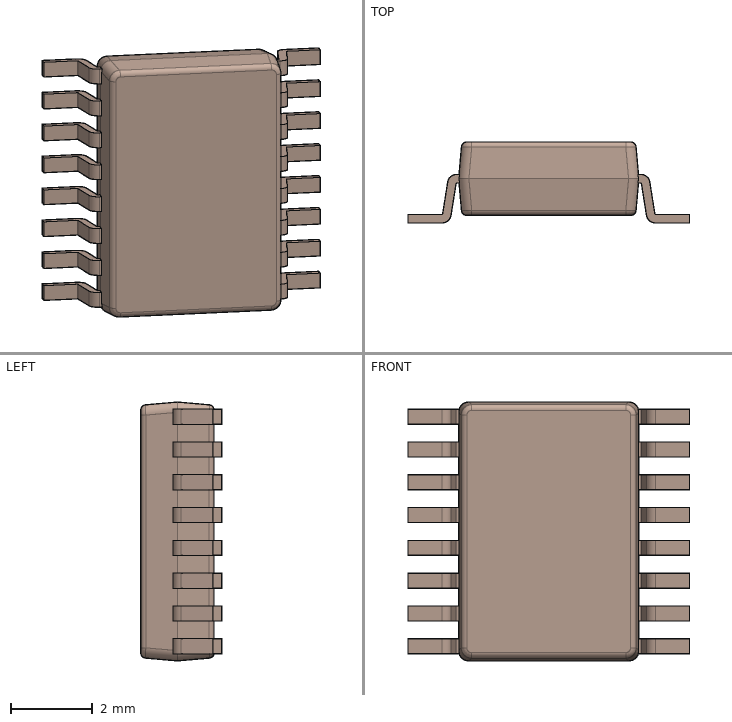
import cadquery as cq
import math

span = 6.88
overall_height = 1.98

body_width = 4.4
body_length = 6.32
standoff = 0.185
draft_angle = 5.0
corner_radius = 0.255
rim_radius = 0.14
half_depth = (overall_height - standoff) / 2
parting_y = standoff + half_depth

leads_per_side = 8
lead_row_length = 5.6
lead_pitch = lead_row_length / (leads_per_side - 1)
lead_width = 0.37
lead_thickness = 0.21
foot_length = 0.845
leg_angle = 9.0
inner_bend_radius = 0.015
outer_bend_radius = inner_bend_radius + lead_thickness
embed_depth = 0.07


def make_body():
    """Two drafted halves meeting at the parting plane, with rounded corners and rims."""
    parting_plane = cq.Plane((0, parting_y, 0), xDir=(1, 0, 0), normal=(0, 1, 0))
    upper_half = (
        cq.Workplane(parting_plane)
        .rect(body_width, body_length)
        .extrude(half_depth, taper=draft_angle)
    )
    body = upper_half.union(upper_half.mirror("XZ", (0, parting_y, 0)))
    body = body.edges("not(#Y)").fillet(corner_radius)
    body = body.faces(">Y or <Y").edges().fillet(rim_radius)
    return body


def make_lead(z_center):
    """Lead on the -X side: flat foot, leaning leg and shoulder centred on the parting plane."""
    lean = math.tan(math.radians(leg_angle))
    leg_run = lead_thickness / math.cos(math.radians(leg_angle))
    tip_x = -span / 2
    root_x = -body_width / 2 + embed_depth
    shoulder_top = parting_y + lead_thickness / 2
    shoulder_bottom = parting_y - lead_thickness / 2

    def leg_outside_x(y):
        return tip_x + foot_length + (y - lead_thickness) * lean

    def leg_inside_x(y):
        return leg_outside_x(y) + leg_run

    heel = (leg_inside_x(0), 0)
    instep = (leg_outside_x(lead_thickness), lead_thickness)
    knee = (leg_outside_x(shoulder_top), shoulder_top)
    knee_back = (leg_inside_x(shoulder_bottom), shoulder_bottom)
    outline = [
        (tip_x, 0),
        heel,
        knee_back,
        (root_x, shoulder_bottom),
        (root_x, shoulder_top),
        knee,
        instep,
        (tip_x, lead_thickness),
    ]
    lead = (
        cq.Workplane("XY", origin=(0, 0, z_center))
        .polyline(outline)
        .close()
        .extrude(lead_width / 2, both=True)
    )
    bends = [
        (heel, outer_bend_radius),
        (instep, inner_bend_radius),
        (knee, outer_bend_radius),
        (knee_back, inner_bend_radius),
    ]
    for (x, y), radius in bends:
        bend_edge = cq.selectors.NearestToPointSelector((x, y, z_center))
        lead = lead.edges(bend_edge).fillet(radius)
    return lead


result = make_body()
for index in range(leads_per_side):
    lead_z = index * lead_pitch - lead_row_length / 2
    lead = make_lead(lead_z)
    result = result.union(lead).union(lead.mirror("YZ"))